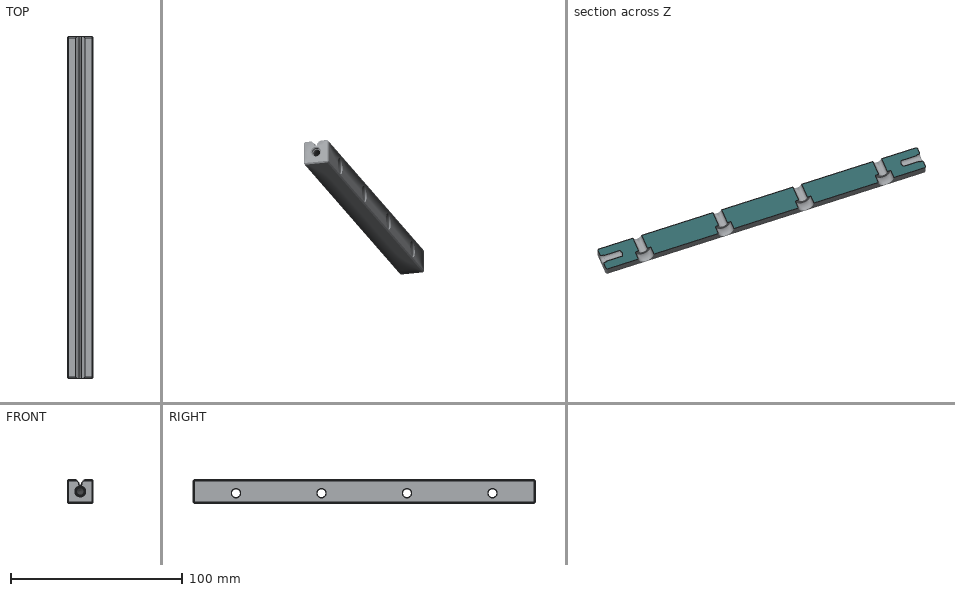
import cadquery as cq

WIDTH = 15.0
LENGTH = 200.0
HEIGHT = 14.0
EDGE_CHAMFER = 0.75

GROOVE_WIDTH = 5.4
RELIEF_WIDTH = 1.5
GROOVE_DEPTH = 3.1

HOLE_COUNT = 4
HOLE_PITCH = LENGTH / HOLE_COUNT
HOLE_HEIGHT = 6.0
HOLE_DIAMETER = 5.2
COUNTERBORE_DIAMETER = 9.5
COUNTERBORE_DEPTH = 5.2

END_HOLE_HEIGHT = HEIGHT / 2
END_HOLE_DIAMETER = 4.35
END_HOLE_MOUTH_DIAMETER = 5.2
END_HOLE_MOUTH_DEPTH = 2.0
END_HOLE_DEPTH = 12.0
END_HOLE_TIP_DEPTH = 1.3
COUNTERSINK_DIAMETER = 6.3


def make_body():
    """Bar centred on X and Y, standing on Z = 0, with all outer edges chamfered."""
    bar = cq.Workplane("XY").box(WIDTH, LENGTH, HEIGHT, centered=(True, True, False))
    return bar.edges().chamfer(EDGE_CHAMFER)


def make_groove():
    """Cutter for the right-angled V and its relief slot."""
    half_groove = GROOVE_WIDTH / 2
    half_relief = RELIEF_WIDTH / 2
    relief_top = HEIGHT - (half_groove - half_relief)
    floor = HEIGHT - GROOVE_DEPTH
    return (
        cq.Workplane("XZ")
        .moveTo(-half_groove, HEIGHT)
        .lineTo(-half_relief, relief_top)
        .lineTo(-half_relief, floor)
        .lineTo(half_relief, floor)
        .lineTo(half_relief, relief_top)
        .lineTo(half_groove, HEIGHT)
        .close()
        .extrude(LENGTH / 2, both=True)
    )


def make_mounting_hole(y):
    """Cutter along X: clearance hole with its counterbore on the -X face."""
    face = cq.Workplane("YZ", origin=(-WIDTH / 2, y, HOLE_HEIGHT))
    hole = face.circle(HOLE_DIAMETER / 2).extrude(WIDTH)
    counterbore = face.circle(COUNTERBORE_DIAMETER / 2).extrude(COUNTERBORE_DEPTH)
    return hole.union(counterbore)


def make_end_hole():
    """Cutter for the -Y end: countersink, wider mouth, then a blind bore with a conical tip."""
    hole_radius = END_HOLE_DIAMETER / 2
    mouth_radius = END_HOLE_MOUTH_DIAMETER / 2
    sink_radius = COUNTERSINK_DIAMETER / 2
    sink_depth = sink_radius - mouth_radius
    return (
        cq.Workplane("XY", origin=(0, -LENGTH / 2, END_HOLE_HEIGHT))
        .lineTo(sink_radius, 0)
        .lineTo(mouth_radius, sink_depth)
        .lineTo(mouth_radius, END_HOLE_MOUTH_DEPTH)
        .lineTo(hole_radius, END_HOLE_MOUTH_DEPTH)
        .lineTo(hole_radius, END_HOLE_DEPTH)
        .lineTo(0, END_HOLE_DEPTH + END_HOLE_TIP_DEPTH)
        .close()
        .revolve(360, (0, 0, 0), (0, 1, 0))
    )


result = make_body().cut(make_groove())

for index in range(HOLE_COUNT):
    hole_y = (index - (HOLE_COUNT - 1) / 2) * HOLE_PITCH
    result = result.cut(make_mounting_hole(hole_y))

end_hole = make_end_hole()
result = result.cut(end_hole).cut(end_hole.mirror("XZ"))